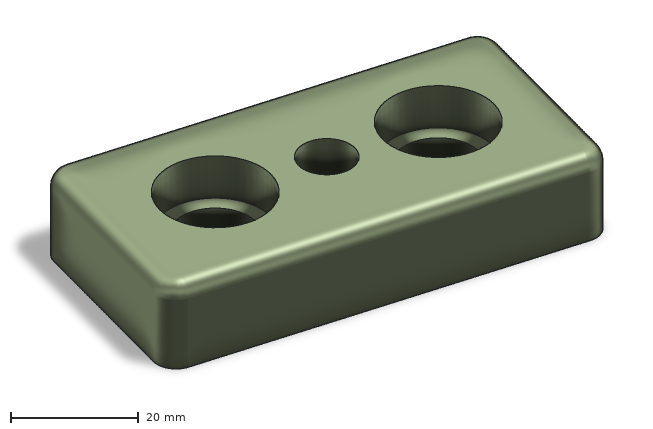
import cadquery as cq

width = 40.0
length = 80.0
height = 16.0
corner_radius = 4.0
top_fillet_radius = 3.0

mount_spacing = length / 2
mount_diameter = 14.5
counterbore_diameter = width / 2
counterbore_depth = 8.0

center_hole_diameter = 10.1


def make_block():
    """Rectangular block on the XY plane with rounded corners and a rounded top edge."""
    block = cq.Workplane("XY").box(width, length, height, centered=(True, True, False))
    block = block.edges("|Z").fillet(corner_radius)
    return block.faces(">Z").edges().fillet(top_fillet_radius)


def cut_mounting_holes(body):
    """Cut the two counterbored through holes from the top face."""
    hole_centers = [(0, -mount_spacing / 2), (0, mount_spacing / 2)]
    return (
        body.faces(">Z")
        .workplane(origin=(0, 0, height))
        .pushPoints(hole_centers)
        .cboreHole(mount_diameter, counterbore_diameter, counterbore_depth)
    )


def cut_center_hole(body):
    """Cut the plain through hole at the centre of the top face."""
    return body.faces(">Z").workplane(origin=(0, 0, height)).hole(center_hole_diameter)


block = make_block()
drilled_block = cut_mounting_holes(block)
result = cut_center_hole(drilled_block)